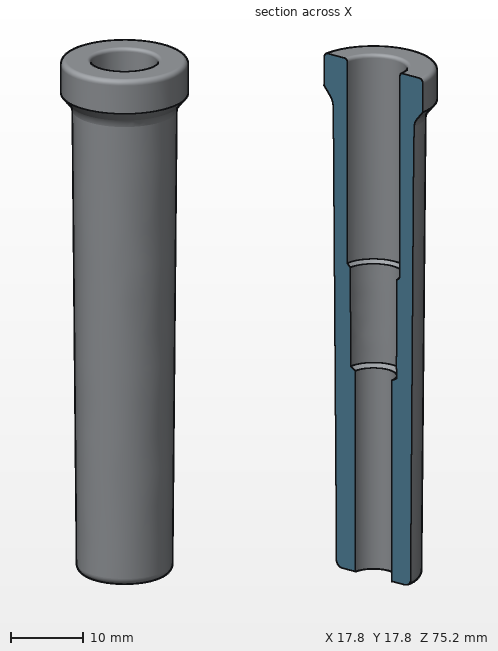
import cadquery as cq
import math

length = 75.2
head_radius = 8.9
rim_height = 4.9
head_edge_fillet = 0.75
neck_angle = 40
neck_fillet = 1.7

shank_top_radius = 7.3
shank_bottom_radius = 6.7
tip_fillet = 1.1

bore_radius = 4.65
bore_depth = 30.1
shoulder_radius = 4.1
floor_radius = 4.05
lower_bore_depth = 45.1
hole_radius = 3.2
drill_point_angle = 118
mouth_fillet = 0.5

rim_bottom = length - rim_height
neck_z = rim_bottom - (head_radius - shank_top_radius) / math.tan(math.radians(neck_angle))
bore_bottom = length - bore_depth
shoulder_bottom = bore_bottom - (bore_radius - shoulder_radius)
lower_bore_bottom = length - lower_bore_depth
drill_point_height = (floor_radius - hole_radius) / math.tan(math.radians(drill_point_angle / 2))
hole_top = lower_bore_bottom - drill_point_height


def revolve_profile(points):
    """Turn a closed (radius, height) outline about the Z axis."""
    return cq.Workplane("XZ").polyline(points).close().revolve(360, (0, 0), (0, 1))


def ring_at(radius, height):
    """Select the circular edge of the given radius and height."""
    gap = 0.01
    reach = radius + gap
    return cq.selectors.BoxSelector(
        (-reach, -reach, height - gap), (reach, reach, height + gap), boundingbox=True
    )


def make_body():
    body = revolve_profile([
        (0, 0),
        (shank_bottom_radius, 0),
        (shank_top_radius, neck_z),
        (head_radius, rim_bottom),
        (head_radius, length),
        (0, length),
    ])
    body = body.edges(ring_at(head_radius, length)).fillet(head_edge_fillet)
    body = body.edges(ring_at(shank_top_radius, neck_z)).fillet(neck_fillet)
    return body.edges(ring_at(shank_bottom_radius, 0)).fillet(tip_fillet)


def make_bore():
    return revolve_profile([
        (0, 0),
        (hole_radius, 0),
        (hole_radius, hole_top),
        (floor_radius, lower_bore_bottom),
        (shoulder_radius, shoulder_bottom),
        (bore_radius, bore_bottom),
        (bore_radius, length),
        (0, length),
    ])


sleeve = make_body().cut(make_bore())
result = sleeve.edges(ring_at(bore_radius, length)).fillet(mouth_fillet)